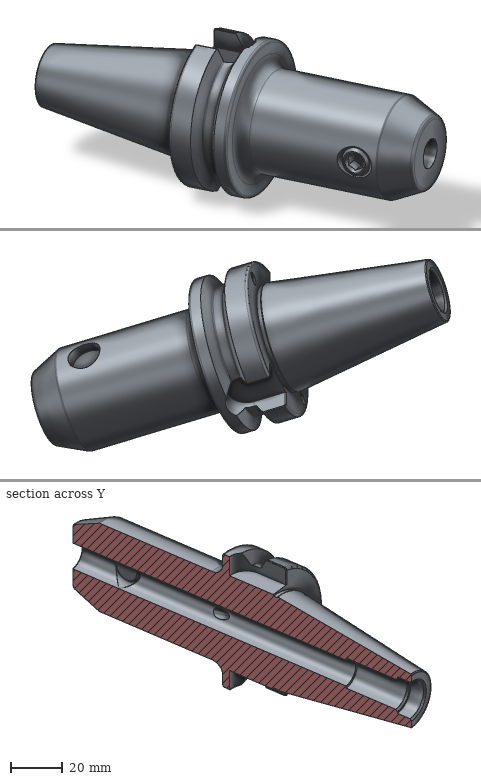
import cadquery as cq
import math


TOLERANCE = 0.01

GAUGE_DIA = 44.45
TAPER_RATE = 7 / 24
TAPER_LENGTH = 65.4
SMALL_END_RADIUS = (GAUGE_DIA - TAPER_LENGTH * TAPER_RATE) / 2
SMALL_END_CHAMFER = 0.4
RELIEF_DEPTH = 0.4
RELIEF_RADIUS = GAUGE_DIA / 2 - RELIEF_DEPTH

FLANGE_START = 2.0
FLANGE_END = 27.0
FLANGE_RADIUS = 63.0 / 2
RIM_FILLET = 1.0

GROOVE_RADIUS = 53.0 / 2
GROOVE_CENTRE = 16.6
GROOVE_FLOOR_WIDTH = 4.3
GROOVE_FLANK_ANGLE = 30.0
GROOVE_FILLET = 0.5
GROOVE_FLANK_WIDTH = (FLANGE_RADIUS - GROOVE_RADIUS) * math.tan(math.radians(GROOVE_FLANK_ANGLE))

SLOT_WIDTH = 16.1
SLOT_FLOOR = 22.5
SLOT_END = 23.4
SLOT_EDGE_CHAMFER = 0.4

PROJECTION = 100.0
BODY_RADIUS = 42.0 / 2
ROOT_FILLET = 5.0
NOSE_CONE_START = 87.0
NOSE_CONE_ANGLE = 25.0
NOSE_TIP_RADIUS = BODY_RADIUS - (PROJECTION - NOSE_CONE_START) * math.tan(math.radians(NOSE_CONE_ANGLE))
NOSE_TIP_FILLET = 1.8
NOSE_SHOULDER_FILLET = 1.0

TOOL_BORE_RADIUS = 12.0 / 2
STUD_THREAD_RADIUS = 14.0 / 2
STUD_THREAD_DEPTH = 32.0
STUD_PILOT_RADIUS = 17.0 / 2
STUD_PILOT_DEPTH = 7.0
STUD_CHAMFER = 0.8
THREAD_CHAMFER = 0.8

SCREW_X = 77.5
SCREW_RADIUS = 12.0 / 2
SCREW_LENGTH = 16.0
SCREW_TIP_DISTANCE = 5.0
SCREW_END_CHAMFER = 1.2
SOCKET_ACROSS_FLATS = 6.0
SOCKET_DEPTH = 6.0
SOCKET_COUNTERSINK_RADIUS = 4.2
COUNTERSINK_RADIUS = 7.5

BALANCE_X = 75.0
BALANCE_RADIUS = 13.4 / 2
BALANCE_FLOOR = 16.0

COOLANT_RADIUS = 4.4 / 2
COOLANT_START_RADIUS = 26.8
COOLANT_POSITION_ANGLE = 20.0
COOLANT_SLOPE = 35.0
COOLANT_END_RADIUS = 4.0


class CirclesAt(cq.Selector):
    """Picks the circular edges about X with a given place along X and radius."""

    def __init__(self, x, radius):
        self.x = x
        self.radius = radius

    def filter(self, edges):
        return [edge for edge in edges if self.matches(edge)]

    def matches(self, edge):
        if edge.geomType() != "CIRCLE":
            return False
        same_place = abs(edge.arcCenter().x - self.x) < TOLERANCE
        return same_place and abs(edge.radius() - self.radius) < TOLERANCE


def turned_blank():
    """Taper, flange with gripper groove, and nose, revolved about X."""
    groove_floor_start = GROOVE_CENTRE - GROOVE_FLOOR_WIDTH / 2
    groove_floor_end = GROOVE_CENTRE + GROOVE_FLOOR_WIDTH / 2
    root_mid = ROOT_FILLET * (1 - math.sqrt(0.5))
    outline = (
        cq.Workplane("XZ")
        .moveTo(-TAPER_LENGTH, 0)
        .lineTo(-TAPER_LENGTH, SMALL_END_RADIUS)
        .lineTo(0, GAUGE_DIA / 2)
        .lineTo(RELIEF_DEPTH, RELIEF_RADIUS)
        .lineTo(FLANGE_START, RELIEF_RADIUS)
        .lineTo(FLANGE_START, FLANGE_RADIUS)
        .lineTo(groove_floor_start - GROOVE_FLANK_WIDTH, FLANGE_RADIUS)
        .lineTo(groove_floor_start, GROOVE_RADIUS)
        .lineTo(groove_floor_end, GROOVE_RADIUS)
        .lineTo(groove_floor_end + GROOVE_FLANK_WIDTH, FLANGE_RADIUS)
        .lineTo(FLANGE_END, FLANGE_RADIUS)
        .lineTo(FLANGE_END, BODY_RADIUS + ROOT_FILLET)
        .threePointArc(
            (FLANGE_END + root_mid, BODY_RADIUS + root_mid),
            (FLANGE_END + ROOT_FILLET, BODY_RADIUS),
        )
        .lineTo(NOSE_CONE_START, BODY_RADIUS)
        .lineTo(PROJECTION, NOSE_TIP_RADIUS)
        .lineTo(PROJECTION, 0)
        .close()
    )
    blank = outline.revolve(360, (0, 0, 0), (1, 0, 0))
    blank = blank.faces("<X").edges().chamfer(SMALL_END_CHAMFER)
    blank = blank.edges(CirclesAt(FLANGE_START, FLANGE_RADIUS)).fillet(RIM_FILLET)
    blank = blank.edges(CirclesAt(FLANGE_END, FLANGE_RADIUS)).fillet(RIM_FILLET)
    blank = blank.edges(CirclesAt(groove_floor_start, GROOVE_RADIUS)).fillet(GROOVE_FILLET)
    blank = blank.edges(CirclesAt(groove_floor_end, GROOVE_RADIUS)).fillet(GROOVE_FILLET)
    blank = blank.edges(CirclesAt(NOSE_CONE_START, BODY_RADIUS)).fillet(NOSE_SHOULDER_FILLET)
    return blank.faces(">X").edges().fillet(NOSE_TIP_FILLET)


def axial_bore():
    """Stepped through bore: pull stud pilot, stud thread, tool bore."""
    pilot_end = -TAPER_LENGTH + STUD_PILOT_DEPTH
    thread_end = -TAPER_LENGTH + STUD_THREAD_DEPTH
    outline = (
        cq.Workplane("XZ")
        .moveTo(-TAPER_LENGTH, 0)
        .lineTo(-TAPER_LENGTH, STUD_PILOT_RADIUS + STUD_CHAMFER)
        .lineTo(-TAPER_LENGTH + STUD_CHAMFER, STUD_PILOT_RADIUS)
        .lineTo(pilot_end, STUD_PILOT_RADIUS)
        .lineTo(pilot_end, STUD_THREAD_RADIUS + THREAD_CHAMFER)
        .lineTo(pilot_end + THREAD_CHAMFER, STUD_THREAD_RADIUS)
        .lineTo(thread_end, STUD_THREAD_RADIUS)
        .lineTo(thread_end, TOOL_BORE_RADIUS)
        .lineTo(PROJECTION, TOOL_BORE_RADIUS)
        .lineTo(PROJECTION, 0)
        .close()
    )
    return outline.revolve(360, (0, 0, 0), (1, 0, 0))


def drive_slot(side):
    """Round-ended slot across the flange rim, on the +Z (side = 1) or -Z (side = -1) side."""
    arc_centre = SLOT_END - SLOT_WIDTH / 2
    outline = (
        cq.Workplane("XY")
        .workplane(offset=side * SLOT_FLOOR)
        .moveTo(0, -SLOT_WIDTH / 2)
        .lineTo(arc_centre, -SLOT_WIDTH / 2)
        .threePointArc((SLOT_END, 0), (arc_centre, SLOT_WIDTH / 2))
        .lineTo(0, SLOT_WIDTH / 2)
        .close()
    )
    return outline.extrude(side * FLANGE_RADIUS)


def chamfer_slot_edges(holder):
    """Chamfer the slot wall edges on the front face and, by tangency, along the front rim."""
    for side_y in (1, -1):
        for side_z in (1, -1):
            corner = cq.Vector(FLANGE_START, side_y * SLOT_WIDTH / 2, side_z * SLOT_FLOOR)
            reach = cq.Vector(TOLERANCE, TOLERANCE, FLANGE_RADIUS - SLOT_FLOOR)
            wall_edge = cq.selectors.BoxSelector(
                (corner - reach).toTuple(), (corner + reach).toTuple()
            )
            holder = holder.edges("|Z").edges(wall_edge).chamfer(SLOT_EDGE_CHAMFER)
    return holder


def screw_hole():
    """Radial hole from the axis to the -Y side, with a 90 degree countersink at the surface."""
    countersink_depth = COUNTERSINK_RADIUS - SCREW_RADIUS
    outline = (
        cq.Workplane("XY")
        .moveTo(SCREW_X, 0)
        .lineTo(SCREW_X + SCREW_RADIUS, 0)
        .lineTo(SCREW_X + SCREW_RADIUS, -BODY_RADIUS + countersink_depth)
        .lineTo(SCREW_X + COUNTERSINK_RADIUS, -BODY_RADIUS)
        .lineTo(SCREW_X, -BODY_RADIUS)
        .close()
    )
    return outline.revolve(360, (SCREW_X, 0, 0), (SCREW_X, 1, 0))


def balance_hole():
    """Flat-bottomed blind hole on the +Y side of the nose."""
    depth = BODY_RADIUS - BALANCE_FLOOR
    return cq.Workplane(cq.Solid.makeCylinder(
        BALANCE_RADIUS, depth, cq.Vector(BALANCE_X, BALANCE_FLOOR, 0), cq.Vector(0, 1, 0)
    ))


def coolant_hole(position_angle):
    """Hole sloping inward from the flange face to the bore, at position_angle about X."""
    slope = math.radians(COOLANT_SLOPE)
    around = math.radians(position_angle)
    outward = cq.Vector(0, math.cos(around), math.sin(around))
    direction = cq.Vector(math.cos(slope), 0, 0) - outward * math.sin(slope)
    start = cq.Vector(FLANGE_START, 0, 0) + outward * COOLANT_START_RADIUS
    length = (COOLANT_START_RADIUS - COOLANT_END_RADIUS) / math.sin(slope)
    lead = 2 * COOLANT_RADIUS
    return cq.Workplane(cq.Solid.makeCylinder(
        COOLANT_RADIUS, length + lead, start - direction * lead, direction
    ))


def make_holder():
    holder = turned_blank().cut(axial_bore())
    for side in (1, -1):
        holder = holder.cut(drive_slot(side))
    holder = chamfer_slot_edges(holder)
    for position_angle in (COOLANT_POSITION_ANGLE, COOLANT_POSITION_ANGLE + 180):
        holder = holder.cut(coolant_hole(position_angle))
    return holder.cut(screw_hole()).cut(balance_hole())


def make_set_screw():
    """Headless screw pointing at the axis, with chamfered ends and a hexagon socket outside."""
    tip_plane = cq.Workplane("XZ", origin=(SCREW_X, -SCREW_TIP_DISTANCE, 0))
    screw = tip_plane.circle(SCREW_RADIUS).extrude(SCREW_LENGTH)
    screw = screw.faces("<Y or >Y").edges().chamfer(SCREW_END_CHAMFER)
    hexagon_radius = SOCKET_ACROSS_FLATS / 2 / math.cos(math.pi / 6)
    socket_floor = tip_plane.workplane(offset=SCREW_LENGTH - SOCKET_DEPTH)
    socket = (
        socket_floor.transformed(rotate=(0, 0, 90))
        .polygon(6, 2 * hexagon_radius)
        .extrude(SOCKET_DEPTH)
    )
    countersink = cq.Workplane(cq.Solid.makeCone(
        SOCKET_COUNTERSINK_RADIUS,
        0,
        SOCKET_COUNTERSINK_RADIUS,
        cq.Vector(SCREW_X, -SCREW_TIP_DISTANCE - SCREW_LENGTH, 0),
        cq.Vector(0, 1, 0),
    ))
    return screw.cut(socket).cut(countersink)


holder = make_holder()
set_screw = make_set_screw()
result = cq.Compound.makeCompound([holder.val(), set_screw.val()])